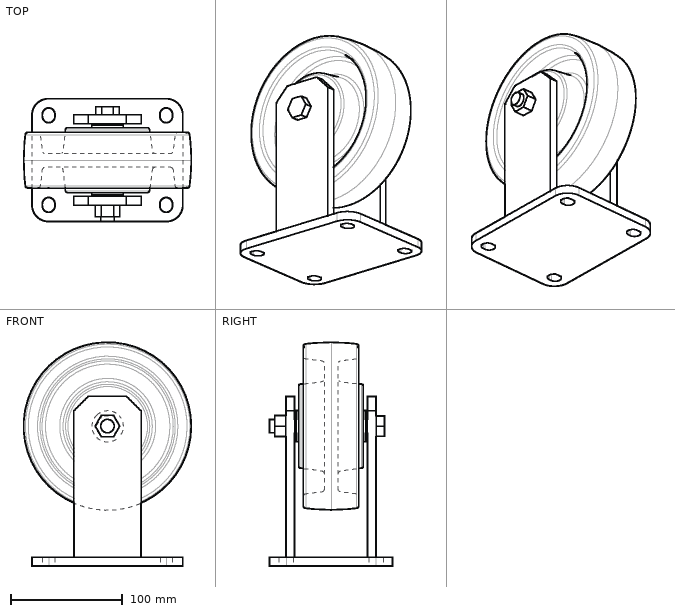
import cadquery as cq
import math


plate_length = 135.0
plate_width = 110.0
plate_thickness = 8.0
plate_corner_radius = 15.0
slot_spacing_x = 105.0
slot_spacing_y = 80.0
slot_width = 11.0
slot_length = 13.0

leg_width = 60.0
leg_thickness = 8.0
leg_outer_y = 40.5
leg_top_z = 151.5
leg_chamfer = 13.0

total_height = 200.0
wheel_radius = 75.0
wheel_width = 50.0
tread_edge_radius = 73.2
tread_fillet = 2.5
axle_z = total_height - wheel_radius
hub_tip_radius = 37.5
hub_length = 58.0
hub_fillet = 2.0
rim_mouth_radius = 60.5
rim_fillet = 2.5
web_thickness = 12.0
web_fillet = 3.0
draft_angle = 7.0

bolt_diameter = 12.0
bolt_tip_y = -plate_width / 2
spacer_diameter = 28.0
spacer_length = 62.0
nut_across_flats = 19.0
nut_height = 10.0
head_across_flats = 18.2
head_height = 7.5

edge_tolerance = 0.02


def make_plate():
    """Rounded plate resting on Z = 0 with four mounting slots elongated along Y."""
    return (
        cq.Workplane("XY")
        .box(plate_length, plate_width, plate_thickness, centered=(True, True, False))
        .edges("|Z")
        .fillet(plate_corner_radius)
        .faces(">Z")
        .workplane()
        .rect(slot_spacing_x, slot_spacing_y, forConstruction=True)
        .vertices()
        .slot2D(slot_length, slot_width, 90)
        .cutThruAll()
    )


def make_leg(side):
    """Upright leg with chamfered top corners; side is +1 or -1 along Y."""
    leg_height = leg_top_z - plate_thickness
    center_y = side * (leg_outer_y - leg_thickness / 2)
    return (
        cq.Workplane("XY", origin=(0, center_y, plate_thickness))
        .box(leg_width, leg_thickness, leg_height, centered=(True, True, False))
        .edges("|Y and >Z")
        .chamfer(leg_chamfer)
    )


def fillet_circle(body, radius, y, fillet_radius):
    """Round the circular edge about the Y axis that has the given radius and Y position."""

    def matches(edge):
        same_radius = math.isclose(edge.radius(), radius, abs_tol=edge_tolerance)
        same_y = math.isclose(edge.Center().y, y, abs_tol=edge_tolerance)
        return same_radius and same_y

    return body.edges("%CIRCLE").filter(matches).fillet(fillet_radius)


def make_wheel():
    """Crowned wheel with a drafted annular recess on each side, revolved about Y."""
    half_width = wheel_width / 2
    half_hub = hub_length / 2
    half_web = web_thickness / 2
    draft = math.tan(math.radians(draft_angle))
    rim_root_radius = rim_mouth_radius - (half_width - half_web) * draft
    hub_root_radius = hub_tip_radius + (half_hub - half_web) * draft

    crown_drop = wheel_radius - tread_edge_radius
    crown_radius = (half_width**2 + crown_drop**2) / (2 * crown_drop)
    mid_y = half_width / 2
    mid_radius = wheel_radius - crown_radius + math.sqrt(crown_radius**2 - mid_y**2)

    half_wheel = (
        cq.Workplane("XY")
        .moveTo(0, 0)
        .lineTo(wheel_radius, 0)
        .threePointArc((mid_radius, mid_y), (tread_edge_radius, half_width))
        .lineTo(rim_mouth_radius, half_width)
        .lineTo(rim_root_radius, half_web)
        .lineTo(hub_root_radius, half_web)
        .lineTo(hub_tip_radius, half_hub)
        .lineTo(0, half_hub)
        .close()
        .revolve(360, (0, 0, 0), (0, 1, 0))
    )

    for radius, y, fillet_radius in (
        (tread_edge_radius, half_width, tread_fillet),
        (rim_mouth_radius, half_width, rim_fillet),
        (rim_root_radius, half_web, web_fillet),
        (hub_root_radius, half_web, web_fillet),
        (hub_tip_radius, half_hub, hub_fillet),
    ):
        half_wheel = fillet_circle(half_wheel, radius, y, fillet_radius)

    wheel = half_wheel.union(half_wheel.mirror("XZ"))
    return wheel.translate((0, 0, axle_z))


def axle_plane(y):
    """Workplane on the axle line at the given Y, with its normal toward +Y."""
    return cq.Workplane(cq.Plane((0, y, axle_z), xDir=(1, 0, 0), normal=(0, 1, 0)))


def make_axle():
    """Bolt, spacer, hexagon head on the +Y side and hexagon nut on the -Y side."""
    flats_to_corners = 1 / math.cos(math.pi / 6)
    spacer = axle_plane(-spacer_length / 2).circle(spacer_diameter / 2).extrude(spacer_length)
    shank = axle_plane(bolt_tip_y).circle(bolt_diameter / 2).extrude(leg_outer_y - bolt_tip_y)
    head = axle_plane(leg_outer_y).polygon(6, head_across_flats * flats_to_corners).extrude(head_height)
    nut = axle_plane(-leg_outer_y).polygon(6, nut_across_flats * flats_to_corners).extrude(-nut_height)
    return spacer.union(shank).union(head).union(nut)


result = make_plate().union(make_wheel()).union(make_axle())
for side in (1, -1):
    result = result.union(make_leg(side))